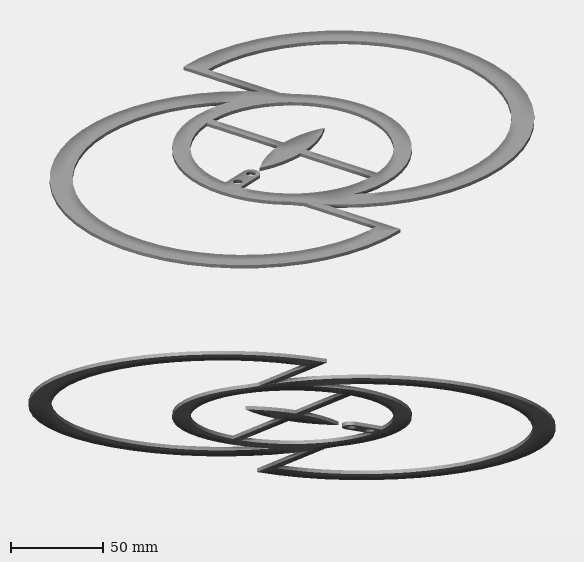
import cadquery as cq

thickness = 2.0

total_length = 300.0
arm_outer_radius = 105.0
arm_inner_radius = 185.0 / 2
arm_center_y = total_length / 2 - arm_outer_radius
ring_inner_radius = 110.0 / 2
ring_width = 10.0
ring_outer_radius = ring_inner_radius + ring_width

bar_width = 5.0

lens_length = 60.0
lens_width = 15.0

tab_width = 10.0
tab_hole_diameter = 5.0
tab_upper_hole_y = -38.0
tab_hole_spacing = 12.0


def disc(radius, center_y=0):
    return cq.Workplane("XY").center(0, center_y).circle(radius).extrude(thickness)


def block(x_min, x_max, y_min, y_max):
    return (
        cq.Workplane("XY")
        .moveTo((x_min + x_max) / 2, (y_min + y_max) / 2)
        .rect(x_max - x_min, y_max - y_min)
        .extrude(thickness)
    )


def half_turn(body):
    return body.rotate((0, 0, 0), (0, 0, 1), 180)


def make_upper_arm():
    """Three-quarter band: its lower left quarter is removed, leaving a flat end on the left."""
    band = disc(arm_outer_radius, arm_center_y).cut(disc(arm_inner_radius, arm_center_y))
    open_quarter = block(-arm_outer_radius, 0, arm_center_y - arm_outer_radius, arm_center_y)
    return band.cut(open_quarter)


def make_frame():
    upper_arm = make_upper_arm()
    return (
        disc(ring_outer_radius)
        .union(upper_arm)
        .union(half_turn(upper_arm))
        .cut(disc(ring_inner_radius))
    )


def make_upper_outer_bar():
    """Bar closing the mouth of the upper arm, shaped to the curved edges at both ends."""
    bar = block(-arm_outer_radius, 0, arm_center_y, arm_center_y + bar_width)
    return (
        bar.intersect(disc(arm_inner_radius, arm_center_y))
        .cut(disc(arm_outer_radius, -arm_center_y))
        .cut(disc(ring_outer_radius))
    )


def make_lens():
    half_length = lens_length / 2
    half_width = lens_width / 2
    return (
        cq.Workplane("XY")
        .moveTo(0, -half_length)
        .threePointArc((half_width, 0), (0, half_length))
        .threePointArc((-half_width, 0), (0, -half_length))
        .close()
        .extrude(thickness)
    )


def make_right_inner_bar(lens):
    """Spoke from the lens to the inside of the ring."""
    bar = block(0, ring_inner_radius, -bar_width / 2, bar_width / 2)
    return bar.intersect(disc(ring_inner_radius)).cut(lens)


def make_tab():
    half_width = tab_width / 2
    hole_centers = [(0, tab_upper_hole_y), (0, tab_upper_hole_y - tab_hole_spacing)]
    plate = block(-half_width, half_width, -ring_inner_radius, tab_upper_hole_y)
    holes = cq.Workplane("XY").pushPoints(hole_centers).circle(tab_hole_diameter / 2).extrude(thickness)
    return (
        plate.union(disc(half_width, tab_upper_hole_y))
        .intersect(disc(ring_inner_radius))
        .cut(holes)
    )


frame = make_frame()
lens = make_lens()
tab = make_tab()

bars = []
for bar in (make_upper_outer_bar(), make_right_inner_bar(lens)):
    bars += [bar.val(), half_turn(bar).val()]

result = cq.Compound.makeCompound([frame.val(), lens.val(), tab.val(), *bars])